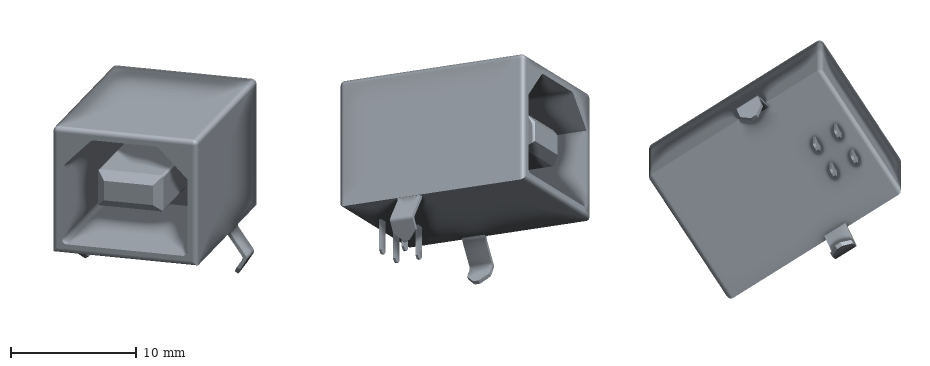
import cadquery as cq
import math


HOUSING_WIDTH = 12.1
HOUSING_LENGTH = 16.5
HOUSING_HEIGHT = 10.6
HOUSING_EDGE_RADIUS = 0.4
FRONT_Y = -HOUSING_LENGTH / 2

WALL = 0.8
CAVITY_HALF_WIDTH = HOUSING_WIDTH / 2 - WALL
CAVITY_FLOOR_Z = WALL
CAVITY_ROOF_Z = HOUSING_HEIGHT - WALL
CAVITY_DEPTH = 12.0
CAVITY_CORNER_CUT = 2.5
CAVITY_FLOOR_RADIUS = 0.4
CAVITY_ROOF_RADIUS = 0.5

TONGUE_WIDTH = 5.5
TONGUE_HEIGHT = 3.05
TONGUE_TIP_CHAMFER = 0.7
TONGUE_EDGE_RADIUS = 0.2
TONGUE_RECESS = 1.0
TONGUE_CENTER_Z = (CAVITY_FLOOR_Z + CAVITY_ROOF_Z) / 2

PIN_WIDTH = 0.8
PIN_THICKNESS = 0.2
PIN_LENGTH = 2.8
PIN_TIP_CHAMFER = 0.25
PIN_COLUMNS_X = (-1.25, 1.25)
PIN_ROWS_Y = (4.75, 6.75)

CLIP_WIDTH = 2.0
CLIP_CENTER_Y = 2.05
CLIP_THICKNESS = 0.35
CLIP_ROOT_X = 6.0
CLIP_BEND_Z = -0.2
CLIP_BEND_RADIUS = 0.3
CLIP_ELBOW_X = 7.42
CLIP_ELBOW_Z = -2.18
CLIP_ELBOW_RADIUS = 0.38
CLIP_TIP_X = 6.4
CLIP_TIP_Z = -3.8
CLIP_TIP_CHAMFER = 0.75


def make_cavity():
    """Plug opening: a box with two large cut corners at the roof."""
    corner_start_x = CAVITY_HALF_WIDTH - CAVITY_CORNER_CUT
    corner_start_z = CAVITY_ROOF_Z - CAVITY_CORNER_CUT
    outline = [
        (-CAVITY_HALF_WIDTH, CAVITY_FLOOR_Z),
        (CAVITY_HALF_WIDTH, CAVITY_FLOOR_Z),
        (CAVITY_HALF_WIDTH, corner_start_z),
        (corner_start_x, CAVITY_ROOF_Z),
        (-corner_start_x, CAVITY_ROOF_Z),
        (-CAVITY_HALF_WIDTH, corner_start_z),
    ]
    cavity = (
        cq.Workplane("XZ", origin=(0, FRONT_Y, 0))
        .polyline(outline)
        .close()
        .extrude(-CAVITY_DEPTH)
    )
    cavity = cavity.faces("<Z").edges("|Y").fillet(CAVITY_FLOOR_RADIUS)
    return cavity.faces(">Z").edges("|Y").fillet(CAVITY_ROOF_RADIUS)


def make_tongue():
    """Contact carrier that stands on the back of the cavity, with a tapered tip."""
    tip_y = FRONT_Y + TONGUE_RECESS
    length = CAVITY_DEPTH - TONGUE_RECESS
    bar = (
        cq.Workplane("XZ", origin=(0, tip_y, TONGUE_CENTER_Z))
        .rect(TONGUE_WIDTH, TONGUE_HEIGHT)
        .extrude(-length)
    )
    tapered_bar = bar.faces("<Y").chamfer(TONGUE_TIP_CHAMFER)
    rounded_bar = bar.edges("|Y").fillet(TONGUE_EDGE_RADIUS)
    return tapered_bar.intersect(rounded_bar)


def make_housing():
    """Rounded block with the plug cavity and its tongue; the long bottom edges stay sharp."""
    block = cq.Workplane("XY").box(
        HOUSING_WIDTH, HOUSING_LENGTH, HOUSING_HEIGHT, centered=(True, True, False)
    )
    block = block.edges("<Y or >Y or (|Y and >Z)").fillet(HOUSING_EDGE_RADIUS)
    return block.cut(make_cavity()).union(make_tongue())


def make_pin(x, y):
    """Flat contact blade below the housing, with its tip corners cut."""
    pin = cq.Workplane("XY").box(
        PIN_WIDTH, PIN_THICKNESS, PIN_LENGTH, centered=(True, True, False)
    )
    pin = pin.faces("<Z").edges("|Y").chamfer(PIN_TIP_CHAMFER)
    return pin.translate((x, y, -PIN_LENGTH))


def make_clip():
    """Bent sheet metal clip on the +X side: out to the elbow, then back in to the tip."""
    lower_angle = math.atan2(CLIP_ELBOW_Z - CLIP_TIP_Z, CLIP_ELBOW_X - CLIP_TIP_X)
    tip_inner_x = CLIP_TIP_X - CLIP_THICKNESS * math.sin(lower_angle)
    tip_inner_z = CLIP_TIP_Z + CLIP_THICKNESS * math.cos(lower_angle)
    outline = [
        (CLIP_ROOT_X, 0),
        (CLIP_ROOT_X, CLIP_BEND_Z),
        (CLIP_ELBOW_X, CLIP_ELBOW_Z),
        (CLIP_TIP_X, CLIP_TIP_Z),
        (tip_inner_x, tip_inner_z),
        (CLIP_ELBOW_X - CLIP_THICKNESS, CLIP_ELBOW_Z),
        (CLIP_ROOT_X - CLIP_THICKNESS, CLIP_BEND_Z),
        (CLIP_ROOT_X - CLIP_THICKNESS, 0),
    ]
    clip = (
        cq.Workplane("XZ", origin=(0, CLIP_CENTER_Y, 0))
        .polyline(outline)
        .close()
        .extrude(CLIP_WIDTH / 2, both=True)
    )

    def bend_edges(x, z):
        """The two edges along Y at a bend, on the outer and the inner face."""
        reach = CLIP_THICKNESS / 10
        return cq.selectors.BoxSelector(
            (x - CLIP_THICKNESS - reach, CLIP_CENTER_Y - reach, z - reach),
            (x + reach, CLIP_CENTER_Y + reach, z + reach),
        )

    clip = clip.edges(bend_edges(CLIP_ROOT_X, CLIP_BEND_Z)).fillet(CLIP_BEND_RADIUS)
    clip = clip.edges(bend_edges(CLIP_ELBOW_X, CLIP_ELBOW_Z)).fillet(CLIP_ELBOW_RADIUS)
    tip_face = cq.selectors.NearestToPointSelector(
        ((CLIP_TIP_X + tip_inner_x) / 2, CLIP_CENTER_Y, (CLIP_TIP_Z + tip_inner_z) / 2)
    )
    return clip.faces(tip_face).edges("not |Y").chamfer(CLIP_TIP_CHAMFER)


housing = make_housing()
pins = [make_pin(x, y) for x in PIN_COLUMNS_X for y in PIN_ROWS_Y]
right_clip = make_clip()
left_clip = right_clip.mirror("YZ")

result = cq.Compound.makeCompound(
    [housing.val(), *[pin.val() for pin in pins], right_clip.val(), left_clip.val()]
)